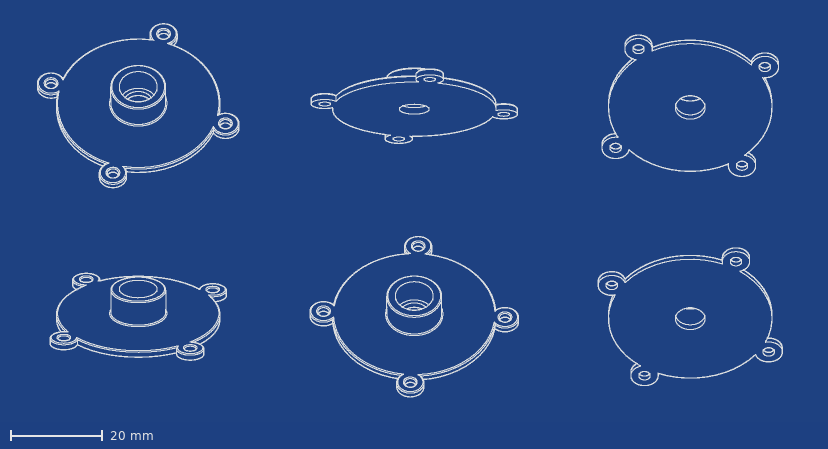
import cadquery as cq

plate_diameter = 35.7
plate_thickness = 1.5

ear_diameter = 6.0
ear_pitch = 28.0
ear_hole_diameter = 2.5

hub_diameter = 12.0
total_height = 7.5
bore_diameter = 6.5
counterbore_diameter = 8.25
counterbore_depth = total_height - plate_thickness

bevel = 0.25


def make_bevelled_disc(diameter):
    """Disc of plate thickness with a bevelled top edge."""
    disc = cq.Workplane("XY").circle(diameter / 2).extrude(plate_thickness)
    return disc.faces(">Z").chamfer(bevel)


def make_hub():
    """Solid hub: bevelled rim on top and a flared foot on the plate's top face."""
    hub_radius = hub_diameter / 2
    profile = (
        cq.Workplane("XZ")
        .lineTo(hub_radius + bevel, 0)
        .lineTo(hub_radius + bevel, plate_thickness)
        .lineTo(hub_radius, plate_thickness + bevel)
        .lineTo(hub_radius, total_height - bevel)
        .lineTo(hub_radius - bevel, total_height)
        .lineTo(0, total_height)
        .close()
    )
    return profile.revolve(360, (0, 0, 0), (0, 1, 0))


def make_bore_cutter():
    """Through bore, widened from the hub rim down to the plate's top face."""
    bore = cq.Workplane("XY").circle(bore_diameter / 2).extrude(total_height)
    counterbore = (
        cq.Workplane("XY", origin=(0, 0, total_height))
        .circle(counterbore_diameter / 2)
        .extrude(-counterbore_depth)
    )
    return bore.union(counterbore)


def make_ear_hole_cutter():
    """Through hole that widens by the bevel at the top face."""
    hole_radius = ear_hole_diameter / 2
    profile = (
        cq.Workplane("XZ")
        .lineTo(hole_radius, 0)
        .lineTo(hole_radius, plate_thickness - bevel)
        .lineTo(hole_radius + bevel, plate_thickness)
        .lineTo(0, plate_thickness)
        .close()
    )
    return profile.revolve(360, (0, 0, 0), (0, 1, 0))


body = make_bevelled_disc(plate_diameter).union(make_hub()).cut(make_bore_cutter())

for x_side in (-1, 1):
    for y_side in (-1, 1):
        ear_centre = (x_side * ear_pitch / 2, y_side * ear_pitch / 2, 0)
        body = body.union(make_bevelled_disc(ear_diameter).translate(ear_centre))
        body = body.cut(make_ear_hole_cutter().translate(ear_centre))

result = body